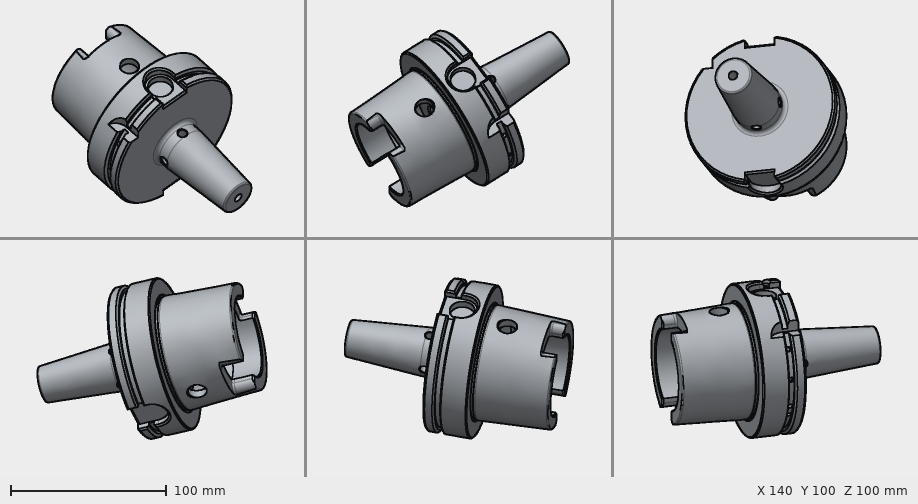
import cadquery as cq
import math


overshoot = 1.4
diagonal_factor = math.sqrt(0.5)

total_length = 140.0
face_x = 50.0
flange_end_x = 79.0
neck_start_x = 81.8
nose_cone_x = 88.9

shank_tip_radius = 35.4
shank_base_radius = 37.7
shank_base_x = 47.6
shank_tip_fillet = 1.0
relief_radius = 37.2
relief_depth = 0.4
relief_outer_radius = 38.9

bore_radius = 26.3
mouth_radius = 27.2
clamp_shoulder_x = 20.0
clamp_radius = 31.4
clamp_end_x = 40.5
floor_rim_radius = 25.6
tube_seat_radius = 11.3
tube_seat_depth = 8.0
tube_seat_chamfer = 1.0
coolant_radius = 3.0
coolant_chamfer = 1.3

drive_half_width = 10.0
drive_wall_top_z = 27.3
drive_round_radius = 4.8
drive_floor_fillet = 1.4
drive_mouth_chamfer = 1.1
drive_depth_top = 9.8
drive_depth_bottom = 15.0

grip_x = 35.0
grip_radius = 6.0
grip_rim_radius = 6.5

flange_radius = 50.0
flange_face_chamfer = 0.8
flange_end_chamfer = 1.3

groove_x = 69.9
groove_floor_radius = 46.0
groove_step_radius = 47.9
groove_floor_half_width = 1.8
groove_mouth_half_width = 3.0

key_half_width = 10.0
key_center_x = 65.0
key_floor_z = 44.0
key_rim_chamfer = 1.3
pocket_radius = 8.1
pocket_depth = 5.0

notch_offset = 31.5
notch_cutter_radius = 10.0

drill_point_angle = 118.0
balance_angles = (30.0, 5.0, -20.0, -30.0)
balance_radius = 1.5
balance_depth = 3.0
screw_x = 86.2
screw_radius = 3.0
screw_rim_radius = 3.5
screw_depth = 8.4
screw_count = 4

neck_radius = 16.0
nose_tip_radius = 12.0
nose_tip_fillet = 1.3


def turn(points):
    """Solid of revolution about X from a closed outline of (x, radius) points."""
    return cq.Workplane("XY").polyline(points).close().revolve(360, (0, 0, 0), (1, 0, 0))


def aim(tool, angle):
    """Turn a tool that points along +Z about the X axis."""
    return tool.rotate((0, 0, 0), (1, 0, 0), angle)


def drilled_hole(x, surface_radius, radius, depth):
    """Blind hole along Z from above the surface, with a conical drill point."""
    bottom_z = surface_radius - depth
    point_length = radius / math.tan(math.radians(drill_point_angle / 2))
    return (
        cq.Workplane("XZ", origin=(x, 0, 0))
        .polyline([
            (0, bottom_z - point_length),
            (radius, bottom_z),
            (radius, surface_radius + overshoot),
            (0, surface_radius + overshoot),
        ])
        .close()
        .revolve(360, (0, 0, 0), (0, 1, 0))
    )


def rim_cone(x, surface_z, rim_radius):
    """45 degree countersink whose rim lies at surface_z, opening towards +Z."""
    size = rim_radius + overshoot
    apex = cq.Vector(x, 0, surface_z - rim_radius)
    return cq.Workplane("XY").add(cq.Solid.makeCone(0, size, size, apex, cq.Vector(0, 0, 1)))


def make_shank():
    return turn([
        (0, 0),
        (0, shank_tip_radius),
        (shank_base_x, shank_base_radius),
        (face_x - overshoot, shank_base_radius),
        (face_x - overshoot + shank_base_radius - relief_radius, relief_radius),
        (face_x + overshoot, relief_radius),
        (face_x + overshoot, 0),
    ]).faces("<X").edges().fillet(shank_tip_fillet)


def make_cavity():
    mouth_chamfer = mouth_radius - bore_radius
    cavity_floor_x = clamp_end_x + clamp_radius - floor_rim_radius
    seat_x = cavity_floor_x + tube_seat_depth
    return turn([
        (0, 0),
        (0, mouth_radius),
        (mouth_chamfer, bore_radius),
        (clamp_shoulder_x, bore_radius),
        (clamp_shoulder_x, clamp_radius),
        (clamp_end_x, clamp_radius),
        (cavity_floor_x, floor_rim_radius),
        (cavity_floor_x, tube_seat_radius + tube_seat_chamfer),
        (cavity_floor_x + tube_seat_chamfer, tube_seat_radius),
        (seat_x, tube_seat_radius),
        (seat_x, coolant_radius + coolant_chamfer),
        (seat_x + coolant_chamfer, coolant_radius),
        (total_length, coolant_radius),
        (total_length, 0),
    ])


def make_drive_slot(depth):
    """Slot with walls that round outwards, open at the shank tip and towards +Z."""
    w = drive_half_width
    r = drive_round_radius
    z = drive_wall_top_z
    diagonal = r * diagonal_factor
    side_y = shank_base_radius
    top_z = shank_base_radius + overshoot
    slot = (
        cq.Workplane("YZ", origin=(-overshoot, 0, 0))
        .moveTo(-w, 0)
        .lineTo(w, 0)
        .lineTo(w, z)
        .threePointArc((w + r - diagonal, z + diagonal), (w + r, z + r))
        .lineTo(side_y, z + r)
        .lineTo(side_y, top_z)
        .lineTo(-side_y, top_z)
        .lineTo(-side_y, z + r)
        .lineTo(-w - r, z + r)
        .threePointArc((-w - r + diagonal, z + diagonal), (-w, z))
        .close()
        .extrude(depth + overshoot)
        .faces(">X")
        .edges()
        .fillet(drive_floor_fillet)
    )
    c = drive_mouth_chamfer
    mouth = (
        cq.Workplane("XY")
        .polyline([(0, -w - c), (c, -w), (c, w), (0, w + c)])
        .close()
        .extrude(top_z)
    )
    return slot.union(mouth)


def make_grip_hole():
    hole = cq.Workplane("XY").center(grip_x, 0).circle(grip_radius).extrude(flange_radius, both=True)
    taper = (shank_base_radius - shank_tip_radius) / shank_base_x
    surface = shank_tip_radius + taper * grip_x
    rim = rim_cone(grip_x, surface, grip_rim_radius)
    return hole.union(rim).union(aim(rim, 180))


def make_key_slot():
    """Slot open at the flange end, with a round inner end."""
    w = key_half_width
    return (
        cq.Workplane("XY", origin=(0, 0, key_floor_z))
        .moveTo(flange_end_x + overshoot, -w)
        .lineTo(key_center_x, -w)
        .threePointArc((key_center_x - w, 0), (key_center_x, w))
        .lineTo(flange_end_x + overshoot, w)
        .close()
        .extrude(flange_radius)
    )


def make_notch():
    """Corner cut by an upright milling cutter."""
    r = notch_cutter_radius
    center_x = groove_x - groove_floor_half_width
    center_y = -notch_offset - r
    return (
        cq.Workplane("XY", origin=(0, 0, notch_offset))
        .moveTo(flange_end_x + overshoot, -notch_offset)
        .lineTo(center_x, -notch_offset)
        .threePointArc(
            (center_x - r * diagonal_factor, center_y + r * diagonal_factor),
            (center_x - r, center_y),
        )
        .lineTo(center_x - r, -flange_radius - overshoot)
        .lineTo(flange_end_x + overshoot, -flange_radius - overshoot)
        .close()
        .extrude(flange_radius)
    )


def make_groove():
    floor, mouth = groove_floor_half_width, groove_mouth_half_width
    return turn([
        (groove_x - floor, groove_floor_radius),
        (groove_x - floor, groove_step_radius),
        (groove_x - mouth, flange_radius),
        (groove_x - mouth, flange_radius + overshoot),
        (groove_x + mouth, flange_radius + overshoot),
        (groove_x + mouth, flange_radius),
        (groove_x + floor, groove_step_radius),
        (groove_x + floor, groove_floor_radius),
    ])


def make_flange():
    flange = turn([
        (face_x + relief_depth, 0),
        (face_x + relief_depth, relief_outer_radius - relief_depth),
        (face_x, relief_outer_radius),
        (face_x, flange_radius - flange_face_chamfer),
        (face_x + flange_face_chamfer, flange_radius),
        (flange_end_x - flange_end_chamfer, flange_radius),
        (flange_end_x, flange_radius - flange_end_chamfer),
        (flange_end_x, 0),
    ])
    for angle in (0, 180):
        flange = flange.cut(aim(make_key_slot(), angle))
        side = math.cos(math.radians(angle))
        rim_box = cq.selectors.BoxSelector(
            (face_x + overshoot, -key_half_width - overshoot, side * (key_floor_z + overshoot)),
            (flange_end_x - overshoot, key_half_width + overshoot, side * (flange_radius + overshoot)),
        )
        flange = flange.edges(rim_box).chamfer(key_rim_chamfer)
        floor_end = cq.selectors.NearestToPointSelector((flange_end_x, 0, side * key_floor_z))
        flange = flange.edges(floor_end).chamfer(flange_end_chamfer)
    pocket = (
        cq.Workplane("XY", origin=(key_center_x, 0, key_floor_z - pocket_depth))
        .circle(pocket_radius)
        .extrude(flange_radius)
    )
    flange = flange.cut(pocket).cut(make_groove()).cut(make_notch())
    for angle in balance_angles:
        hole = drilled_hole(groove_x, groove_floor_radius, balance_radius, balance_depth)
        flange = flange.cut(aim(hole, 90 - angle))
    return flange


def make_nose():
    fillet_radius = neck_start_x - flange_end_x
    diagonal = fillet_radius * (1 - diagonal_factor)
    nose = (
        cq.Workplane("XY")
        .moveTo(face_x + overshoot, 0)
        .lineTo(face_x + overshoot, neck_radius + fillet_radius)
        .lineTo(flange_end_x, neck_radius + fillet_radius)
        .threePointArc((flange_end_x + diagonal, neck_radius + diagonal), (neck_start_x, neck_radius))
        .lineTo(nose_cone_x, neck_radius)
        .lineTo(total_length, nose_tip_radius)
        .lineTo(total_length, 0)
        .close()
        .revolve(360, (0, 0, 0), (1, 0, 0))
        .faces(">X")
        .edges()
        .fillet(nose_tip_fillet)
    )
    hole = drilled_hole(screw_x, neck_radius, screw_radius, screw_depth)
    hole = hole.union(rim_cone(screw_x, neck_radius, screw_rim_radius))
    for index in range(screw_count):
        nose = nose.cut(aim(hole, index * 360 / screw_count))
    return nose


result = (
    make_shank()
    .union(make_flange())
    .union(make_nose())
    .cut(make_cavity())
    .cut(make_drive_slot(drive_depth_top))
    .cut(aim(make_drive_slot(drive_depth_bottom), 180))
    .cut(make_grip_hole())
)